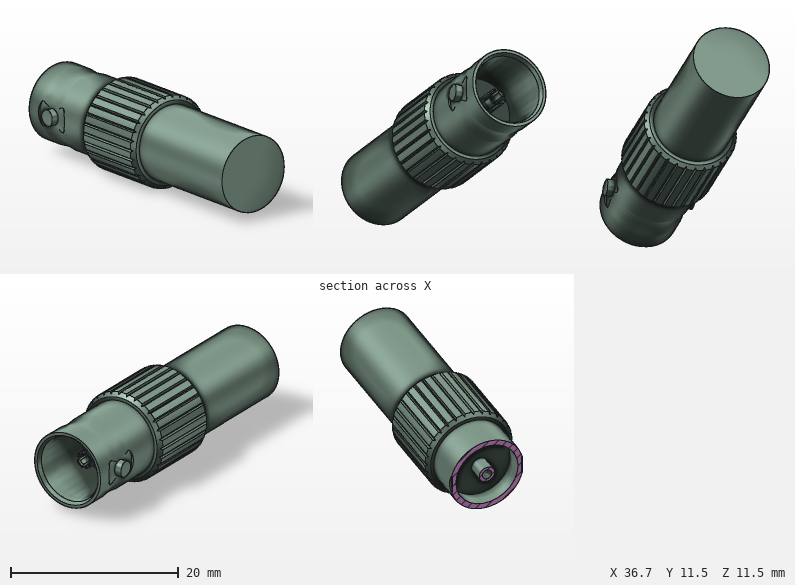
import cadquery as cq
import math

TOTAL_LENGTH = 36.7
NOSE_RADIUS = 4.83
TAIL_RADIUS = 4.75

COLLAR_START = 11.0
COLLAR_END = 20.95
COLLAR_RADIUS = 5.75
COLLAR_CHAMFER = 0.5
GROOVE_COUNT = 30
GROOVE_WIDTH = 0.34
GROOVE_DEPTH = 0.23

NECK_START = 2.57
NECK_END = 5.9
NECK_RADIUS = 4.68
STUD_X = (NECK_START + NECK_END) / 2
STUD_RADIUS = 1.0
STUD_REACH = 5.5
FLAT_RADIUS = 2.5
FLAT_OFFSET = 4.58

CAVITY_ENTRY_RADIUS = 4.17
CAVITY_FLOOR_RADIUS = 4.05
CAVITY_DEPTH = 8.5
MOUTH_RADIUS = 4.45
MOUTH_DEPTH = 0.5
CONTACT_RADIUS = 1.05
CONTACT_TIP_X = 3.4
CONTACT_BORE_RADIUS = 0.7
CONTACT_BORE_DEPTH = 3.0
CONTACT_LEAD_IN = 0.18
DRILL_POINT_ANGLE = 118
SLOT_WIDTH = 0.45
SLOT_DEPTH = 2.0


def cylinder_x(start, length, radius):
    """Cylinder along +X, centred on the part axis."""
    return cq.Workplane("YZ").workplane(offset=start).circle(radius).extrude(length)


def make_body():
    """Solid of revolution: nose with concave neck, chamfered collar and plain tail."""
    collar_end_radius = COLLAR_RADIUS - COLLAR_CHAMFER
    profile = (
        cq.Workplane("XY")
        .moveTo(0, 0)
        .lineTo(0, NOSE_RADIUS)
        .lineTo(NECK_START, NOSE_RADIUS)
        .threePointArc((STUD_X, NECK_RADIUS), (NECK_END, NOSE_RADIUS))
        .lineTo(COLLAR_START, NOSE_RADIUS)
        .lineTo(COLLAR_START, collar_end_radius)
        .lineTo(COLLAR_START + COLLAR_CHAMFER, COLLAR_RADIUS)
        .lineTo(COLLAR_END - COLLAR_CHAMFER, COLLAR_RADIUS)
        .lineTo(COLLAR_END, collar_end_radius)
        .lineTo(COLLAR_END, TAIL_RADIUS)
        .lineTo(TOTAL_LENGTH, TAIL_RADIUS)
        .lineTo(TOTAL_LENGTH, 0)
        .close()
    )
    return profile.revolve(360, (0, 0, 0), (1, 0, 0))


def make_knurl_grooves():
    """Straight V grooves around the collar, two of them centred on the Y axis."""
    margin = 0.1
    half_width = GROOVE_WIDTH / 2 * (GROOVE_DEPTH + margin) / GROOVE_DEPTH
    outer = COLLAR_RADIUS + margin
    groove = (
        cq.Workplane("YZ")
        .workplane(offset=COLLAR_START)
        .polyline([(COLLAR_RADIUS - GROOVE_DEPTH, 0), (outer, half_width), (outer, -half_width)])
        .close()
        .extrude(COLLAR_END - COLLAR_START)
    )
    pitch = 360 / GROOVE_COUNT
    axis_start, axis_end = (0, 0, 0), (1, 0, 0)
    copies = [groove.rotate(axis_start, axis_end, i * pitch).val() for i in range(GROOVE_COUNT)]
    return cq.Compound.makeCompound(copies)


def add_bayonet_stud(body, side):
    """Cut a round flat into the nose at side = -1 or +1 of Y and raise a stud from it."""
    flat_cutter = (
        cq.Workplane("XZ", origin=(STUD_X, side * FLAT_OFFSET, 0))
        .circle(FLAT_RADIUS)
        .extrude(-side * (STUD_REACH - FLAT_OFFSET))
    )
    stud = (
        cq.Workplane("XZ", origin=(STUD_X, side * (CAVITY_ENTRY_RADIUS + FLAT_OFFSET) / 2, 0))
        .circle(STUD_RADIUS)
        .extrude(-side * STUD_REACH)
        .intersect(cylinder_x(0, COLLAR_START, STUD_REACH))
    )
    return body.cut(flat_cutter).union(stud)


def make_cavity():
    """Slightly tapered mating cavity with a conical mouth."""
    profile = (
        cq.Workplane("XY")
        .moveTo(0, 0)
        .lineTo(0, MOUTH_RADIUS)
        .lineTo(MOUTH_DEPTH, CAVITY_ENTRY_RADIUS)
        .lineTo(CAVITY_DEPTH, CAVITY_FLOOR_RADIUS)
        .lineTo(CAVITY_DEPTH, 0)
        .close()
    )
    return profile.revolve(360, (0, 0, 0), (1, 0, 0))


def make_contact():
    """Centre socket contact: drilled, countersunk at the tip and split by two crossed slots."""
    contact = cylinder_x(CONTACT_TIP_X, CAVITY_DEPTH - CONTACT_TIP_X, CONTACT_RADIUS)
    bore_end = CONTACT_TIP_X + CONTACT_BORE_DEPTH
    point_length = CONTACT_BORE_RADIUS / math.tan(math.radians(DRILL_POINT_ANGLE / 2))
    bore = (
        cq.Workplane("XY")
        .moveTo(CONTACT_TIP_X, 0)
        .lineTo(CONTACT_TIP_X, CONTACT_BORE_RADIUS + CONTACT_LEAD_IN)
        .lineTo(CONTACT_TIP_X + CONTACT_LEAD_IN, CONTACT_BORE_RADIUS)
        .lineTo(bore_end, CONTACT_BORE_RADIUS)
        .lineTo(bore_end + point_length, 0)
        .close()
        .revolve(360, (0, 0, 0), (1, 0, 0))
    )
    slot_span = 2 * CONTACT_RADIUS
    slot_end = cq.Workplane("YZ").workplane(offset=CONTACT_TIP_X)
    level_slot = slot_end.rect(slot_span, SLOT_WIDTH).extrude(SLOT_DEPTH)
    upright_slot = slot_end.rect(SLOT_WIDTH, slot_span).extrude(SLOT_DEPTH)
    return contact.cut(bore).cut(level_slot).cut(upright_slot)


body = make_body().cut(cq.Workplane(make_knurl_grooves()))
for stud_side in (-1, 1):
    body = add_bayonet_stud(body, stud_side)
result = body.cut(make_cavity()).union(make_contact())